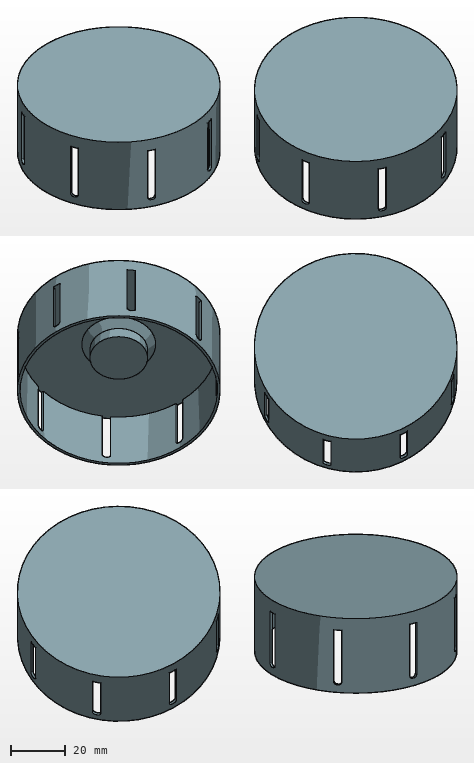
import cadquery as cq

outer_diameter = 74.0
inner_diameter = 72.0
height = 30.0
lid_thickness = 4.95
lid_underside = height - lid_thickness

boss_diameter = 21.0
boss_bottom = 17.6
flare_size = 2.95

slot_count = 8
slot_width = 3.0
slot_bottom = 3.1
slot_corner_radius = 1.25
slot_side_offset = 0.48


def make_shell():
    body = cq.Workplane("XY").circle(outer_diameter / 2).extrude(height)
    cavity = cq.Workplane("XY").circle(inner_diameter / 2).extrude(lid_underside)
    return body.cut(cavity)


def make_boss():
    radius = boss_diameter / 2
    return (
        cq.Workplane("XZ")
        .moveTo(0, boss_bottom)
        .lineTo(radius, boss_bottom)
        .lineTo(radius, lid_underside - flare_size)
        .lineTo(radius + flare_size, lid_underside)
        .lineTo(radius + flare_size, height)
        .lineTo(0, height)
        .close()
        .revolve(360, (0, 0, 0), (0, 1, 0))
    )


def make_slot_cutter(angle):
    wall_thickness = (outer_diameter - inner_diameter) / 2
    cutter_depth = 4 * wall_thickness
    slot_height = lid_underside - slot_bottom
    return (
        cq.Workplane("XY")
        .box(slot_width, cutter_depth, slot_height, centered=(True, True, False))
        .edges("|Y and <Z")
        .fillet(slot_corner_radius)
        .translate((slot_side_offset, -outer_diameter / 2, slot_bottom))
        .rotate((0, 0, 0), (0, 0, 1), angle)
    )


result = make_shell().union(make_boss())
for index in range(slot_count):
    result = result.cut(make_slot_cutter(index * 360 / slot_count))